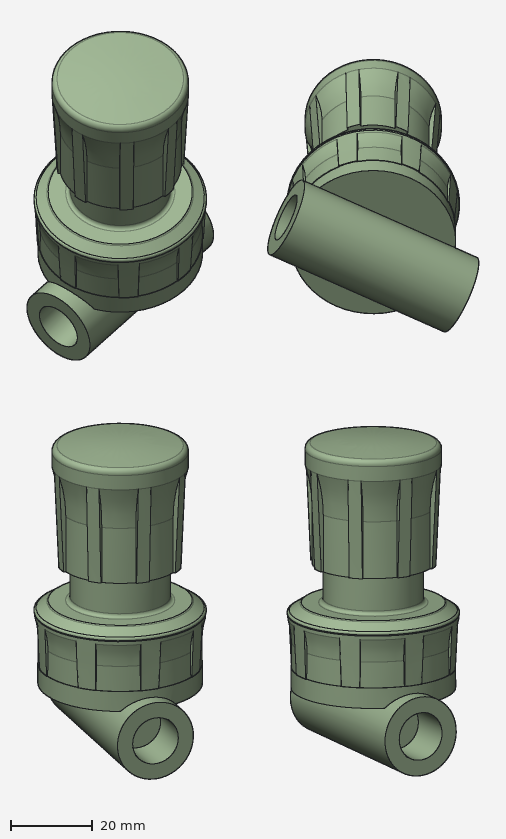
import cadquery as cq
import math

PIPE_RADIUS = 10.0
PIPE_LENGTH = 48.0
BORE_RADIUS = 6.0
BORE_DEPTH = 12.0

COLLAR_BOTTOM = 16.9
COLLAR_BASE_RADIUS = 40.5 / 2
COLLAR_RADIUS = 40.2 / 2
COLLAR_RIB_BOTTOM = 22.1
COLLAR_FLARE_START = 28.6
COLLAR_FLARE_TOP = 34.5
COLLAR_RIB_BOTTOM_RADIUS = 20.4
COLLAR_RIB_BOTTOM_WIDTH = 4.7
COLLAR_RIB_TOP_WIDTH = 5.3

RIM_BOTTOM = 35.4
RIM_UNDERSIDE_RADIUS = 21.0
RIM_RADIUS = 21.2
COLLAR_CONE_SLOPE = (RIM_UNDERSIDE_RADIUS - COLLAR_RIB_BOTTOM_RADIUS) / (RIM_BOTTOM - COLLAR_RIB_BOTTOM)
COLLAR_FLARE_RADIUS = RIM_UNDERSIDE_RADIUS - COLLAR_CONE_SLOPE * (RIM_BOTTOM - COLLAR_FLARE_TOP)
RIM_ROUND_BOTTOM = 35.75
SHOULDER_BOTTOM = 36.5
SHOULDER_BOTTOM_RADIUS = 20.6
SHOULDER_TOP = 38.2
SHOULDER_TOP_RADIUS = 18.0
DISC_TOP = 38.5
DISC_RADIUS = 17.7

STEM_RADIUS = 24.7 / 2
STEM_FILLET = 1.0

KNOB_BOTTOM = 48.5
KNOB_CORE_RADIUS = 15.0
KNOB_FLARE_START = 62.9
CAP_BOTTOM = 73.6
CAP_RADIUS = 33.5 / 2
CAP_ROUND_BOTTOM = 77.35
DOME_EDGE = 78.95
DOME_RADIUS = 15.5
KNOB_TOP = 80.0
KNOB_RIB_BOTTOM_RADIUS = 15.6
KNOB_RIB_WIDTH = 3.35

RIB_COUNT = 8
RECESS_OVERSHOOT = 1.6
HALF_SQRT = math.sqrt(0.5)


def flare_middle(radius, start, end_radius, end):
    """Middle point of an arc that leaves a vertical wall tangentially and leans outwards."""
    rise = end - start
    lean = end_radius - radius
    arc_radius = (rise**2 + lean**2) / (2 * lean)
    half_angle = math.asin(rise / arc_radius) / 2
    return (
        radius + arc_radius * (1 - math.cos(half_angle)),
        start + arc_radius * math.sin(half_angle),
    )


def corner_middle(inner_radius, outer_radius, bottom, top):
    """Middle point of a convex quarter-round at an upper outer edge."""
    return (
        inner_radius + (outer_radius - inner_radius) * HALF_SQRT,
        bottom + (top - bottom) * HALF_SQRT,
    )


def revolve_about_z(profile):
    return profile.close().revolve(360, (0, 0, 0), (0, 1, 0))


def make_recess(radius, bottom, flare_start, flare_radius, top, rib_bottom_width, rib_top_width):
    """Recess to cut around a body: a ring that flares out towards its top and leaves radial ribs."""
    outside = flare_radius + RECESS_OVERSHOOT
    recess = revolve_about_z(
        cq.Workplane("XZ")
        .moveTo(radius, bottom)
        .lineTo(radius, flare_start)
        .threePointArc(
            flare_middle(radius, flare_start, flare_radius, top),
            (flare_radius, top),
        )
        .lineTo(outside, top)
        .lineTo(outside, bottom)
    )
    rib = (
        cq.Workplane("YZ")
        .moveTo(-rib_bottom_width / 2, bottom)
        .lineTo(rib_bottom_width / 2, bottom)
        .lineTo(rib_top_width / 2, top)
        .lineTo(-rib_top_width / 2, top)
        .close()
        .extrude(outside + RECESS_OVERSHOOT)
    )
    for index in range(RIB_COUNT):
        recess = recess.cut(rib.rotate((0, 0, 0), (0, 0, 1), index * 360 / RIB_COUNT))
    return recess


def make_collar_and_stem():
    stem_foot = DISC_TOP + STEM_FILLET
    foot_middle = (
        STEM_RADIUS + STEM_FILLET * (1 - HALF_SQRT),
        DISC_TOP + STEM_FILLET * (1 - HALF_SQRT),
    )
    core = revolve_about_z(
        cq.Workplane("XZ")
        .moveTo(0, COLLAR_BOTTOM)
        .lineTo(COLLAR_BASE_RADIUS, COLLAR_BOTTOM)
        .lineTo(COLLAR_BASE_RADIUS, COLLAR_RIB_BOTTOM)
        .lineTo(COLLAR_RIB_BOTTOM_RADIUS, COLLAR_RIB_BOTTOM)
        .lineTo(RIM_UNDERSIDE_RADIUS, RIM_BOTTOM)
        .lineTo(RIM_RADIUS, RIM_ROUND_BOTTOM)
        .threePointArc(
            corner_middle(SHOULDER_BOTTOM_RADIUS, RIM_RADIUS, RIM_ROUND_BOTTOM, SHOULDER_BOTTOM),
            (SHOULDER_BOTTOM_RADIUS, SHOULDER_BOTTOM),
        )
        .lineTo(SHOULDER_TOP_RADIUS, SHOULDER_TOP)
        .lineTo(DISC_RADIUS, DISC_TOP)
        .lineTo(STEM_RADIUS + STEM_FILLET, DISC_TOP)
        .threePointArc(foot_middle, (STEM_RADIUS, stem_foot))
        .lineTo(STEM_RADIUS, KNOB_BOTTOM)
        .lineTo(0, KNOB_BOTTOM)
    )
    recess = make_recess(
        COLLAR_RADIUS,
        COLLAR_RIB_BOTTOM,
        COLLAR_FLARE_START,
        COLLAR_FLARE_RADIUS,
        COLLAR_FLARE_TOP,
        COLLAR_RIB_BOTTOM_WIDTH,
        COLLAR_RIB_TOP_WIDTH,
    )
    return core.cut(recess)


def make_y_cylinder(radius, start, length):
    """Cylinder on the pipe axis, from Y = start towards +Y."""
    return cq.Workplane(
        cq.Solid.makeCylinder(radius, length, cq.Vector(0, start, PIPE_RADIUS), cq.Vector(0, 1, 0))
    )


def make_valve_body():
    body = make_collar_and_stem().union(make_y_cylinder(PIPE_RADIUS, -PIPE_LENGTH / 2, PIPE_LENGTH))
    for bore_start in (-PIPE_LENGTH / 2, PIPE_LENGTH / 2 - BORE_DEPTH):
        body = body.cut(make_y_cylinder(BORE_RADIUS, bore_start, BORE_DEPTH))
    return body


def make_knob():
    """Ribbed knob with a domed cap, resting on the end of the stem."""
    dome_height = KNOB_TOP - DOME_EDGE
    sphere_radius = (DOME_RADIUS**2 + dome_height**2) / (2 * dome_height)
    dome_middle_radius = DOME_RADIUS / 2
    dome_middle_height = KNOB_TOP - sphere_radius + math.sqrt(sphere_radius**2 - dome_middle_radius**2)
    knob = revolve_about_z(
        cq.Workplane("XZ")
        .moveTo(0, KNOB_BOTTOM)
        .lineTo(KNOB_RIB_BOTTOM_RADIUS, KNOB_BOTTOM)
        .lineTo(CAP_RADIUS, CAP_BOTTOM)
        .lineTo(CAP_RADIUS, CAP_ROUND_BOTTOM)
        .threePointArc(
            corner_middle(DOME_RADIUS, CAP_RADIUS, CAP_ROUND_BOTTOM, DOME_EDGE),
            (DOME_RADIUS, DOME_EDGE),
        )
        .threePointArc((dome_middle_radius, dome_middle_height), (0, KNOB_TOP))
    )
    recess = make_recess(
        KNOB_CORE_RADIUS,
        KNOB_BOTTOM,
        KNOB_FLARE_START,
        CAP_RADIUS,
        CAP_BOTTOM,
        KNOB_RIB_WIDTH,
        KNOB_RIB_WIDTH,
    )
    return knob.cut(recess)


valve_body = make_valve_body()
knob = make_knob()
result = cq.Compound.makeCompound([valve_body.solids().val(), knob.solids().val()])